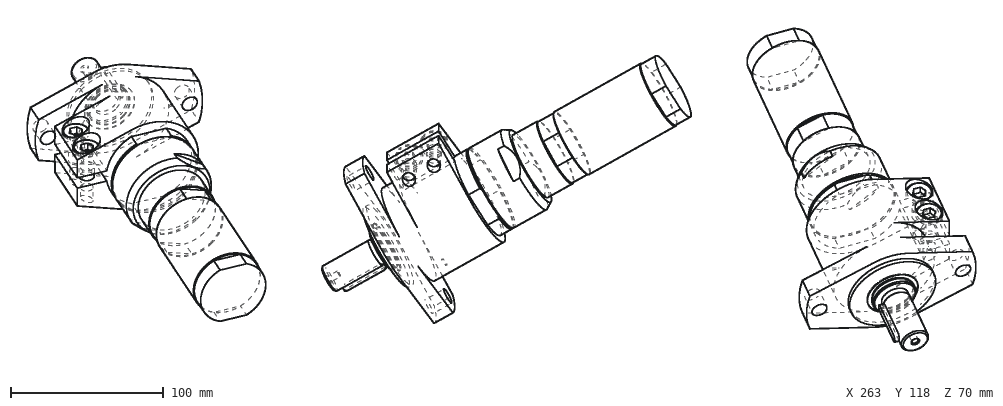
import cadquery as cq
import math


shaft_step_x = 36.0
seal_x = 39.7
pilot_x = 44.0
flange_x = 46.8
flange_back_x = 61.3
clamp_x = 74.7
clamp_back_x = 114.1
neck_end_x = 122.8
drum_x = 124.5
drum_flat_x = 144.6
drum_back_x = 154.0
groove_x = 173.3
groove_back_x = 185.2
tail_x = 252.0
overall_length = 263.0

shaft_dia = 19.0
shaft_relief_dia = 18.7
seal_dia = 30.0
seal_recess_dia = 35.2
drum_dia = 60.0
body_dia = 70.0
tube_dia = 47.0
tube_waist_dia = 46.0

shaft_chamfer = 1.0
seal_chamfer = 0.8
seal_recess_depth = 0.8
notch_depth = 0.8
drum_taper_length = 4.7
drum_taper_depth = 3.0

center_hole_dia = 4.2
center_sink_dia = 5.8
center_sink_angle = 90.0
center_hole_depth = 8.0

key_x = 5.0
key_back_x = 36.8
key_width = 6.0
key_top = 12.4

flange_span = 118.0
flange_slope = 19.9
mount_hole_dia = 10.5
mount_hole_offset = 50.0

neck_flat_distance = 27.4
tail_flat_distance = 21.0
drum_flat_angle = 35.4
waist_flat_angle = 19.5

clamp_face_y = -50.5
clamp_gap = 8.5
screw_dia = 10.0
screw_head_dia = 18.0
screw_crown_dia = 16.0
screw_head_height = 10.0
screw_head_top = 19.5
socket_width = 8.0
socket_depth = 5.0
socket_cone_slope = 30.0
tapped_hole_dia = 8.5
tapped_hole_top = -13.2
screw_pitch = 19.0
screw_y = -40.0
screw_middle_x = 94.7

bleed_dia = 1.0
bleed_depth = 5.3
bleed_x = 69.7
bleed_angle = 16.0


def cylinder_x(x0, x1, diameter):
    """Cylinder on the X axis between two stations."""
    return cq.Workplane("YZ", origin=(x0, 0, 0)).circle(diameter / 2).extrude(x1 - x0)


def cylinder_z(x, y, z0, z1, diameter):
    """Vertical cylinder between two heights."""
    return cq.Workplane("XY", origin=(x, y, z0)).circle(diameter / 2).extrude(z1 - z0)


def block(x0, x1, y0, y1, z0, z1):
    """Axis-aligned box given by its limits."""
    return cq.Workplane("XY").box(x1 - x0, y1 - y0, z1 - z0, centered=False).translate((x0, y0, z0))


def flat_pair_cut(x0, x1, distance, angle=0.0):
    """Material to remove for two opposite flats, their normal tilted from Z by angle toward +Y."""
    upper = block(x0, x1, -body_dia, body_dia, distance, body_dia)
    lower = upper.mirror("XY")
    return upper.union(lower).rotate((0, 0, 0), (1, 0, 0), -angle)


def make_shaft():
    shaft = cylinder_x(0, shaft_step_x, shaft_dia).faces("<X").chamfer(shaft_chamfer)
    shaft = shaft.union(cylinder_x(shaft_step_x, pilot_x, shaft_relief_dia))
    shaft = (
        shaft.faces("<X")
        .workplane()
        .cskHole(center_hole_dia, center_sink_dia, center_sink_angle, center_hole_depth)
    )
    key_length = key_back_x - key_x
    key = (
        cq.Workplane("XZ", origin=((key_x + key_back_x) / 2, 0, 0))
        .slot2D(key_length, key_width)
        .extrude(-key_top)
    )
    outer_part = block(key_x, key_back_x, shaft_dia / 4, key_top, -key_width, key_width)
    return shaft.union(key.intersect(outer_part))


def make_pilot_and_seal():
    pilot = cylinder_x(pilot_x, flange_x, drum_dia)
    recess_floor_x = pilot_x + seal_recess_depth
    pilot = pilot.cut(cylinder_x(pilot_x, recess_floor_x, seal_recess_dia))
    seal = cylinder_x(seal_x, pilot_x, seal_dia).faces("<X or >X").chamfer(seal_chamfer)
    seal_foot = cylinder_x(pilot_x, flange_x, seal_dia - 2 * seal_chamfer)
    return pilot.union(seal).union(seal_foot)


def tangent_height(y):
    """Height at y of the sloped plane tangent to the body."""
    slope = math.radians(flange_slope)
    return (body_dia / 2 - abs(y) * math.sin(slope)) / math.cos(slope)


def make_flange():
    thickness = flange_back_x - flange_x
    tangent_y = body_dia / 2 * math.sin(math.radians(flange_slope))
    tangent_z = tangent_height(tangent_y)
    corner_y = flange_span / 2
    corner_z = tangent_height(corner_y)
    flange = (
        cq.Workplane("YZ", origin=(flange_x, 0, 0))
        .moveTo(-tangent_y, tangent_z)
        .threePointArc((0, body_dia / 2), (tangent_y, tangent_z))
        .lineTo(corner_y, corner_z)
        .lineTo(corner_y, -corner_z)
        .lineTo(tangent_y, -tangent_z)
        .threePointArc((0, -body_dia / 2), (-tangent_y, -tangent_z))
        .lineTo(-corner_y, -corner_z)
        .lineTo(-corner_y, corner_z)
        .close()
        .extrude(thickness)
    )
    flange = flange.intersect(cylinder_x(flange_x, flange_back_x, flange_span))
    for side in (-1, 1):
        hole = cylinder_x(flange_x, flange_back_x, mount_hole_dia)
        flange = flange.cut(hole.translate((0, side * mount_hole_offset, 0)))
    return flange


def make_clamp_body():
    """Round body with two clamp jaws parted by a gap that reaches in to the inner cylinder."""
    body = cylinder_x(flange_back_x, clamp_back_x, body_dia)
    tangent_y = -body_dia / 2 * math.sin(math.radians(flange_slope))
    tangent_z = tangent_height(tangent_y)
    face_z = tangent_height(clamp_face_y)
    jaws = (
        cq.Workplane("YZ", origin=(clamp_x, 0, 0))
        .polyline([
            (tangent_y, tangent_z),
            (clamp_face_y, face_z),
            (clamp_face_y, -face_z),
            (tangent_y, -tangent_z),
        ])
        .close()
        .extrude(clamp_back_x - clamp_x)
    )
    gap = block(clamp_x, clamp_back_x, clamp_face_y, 0, -clamp_gap / 2, clamp_gap / 2)
    gap = gap.cut(cylinder_x(clamp_x, clamp_back_x, drum_dia))
    return body.union(jaws).cut(gap)


def make_socket(x):
    """Hexagonal screw socket with a conical bottom."""
    corner_radius = socket_width / math.sqrt(3)
    cone_depth = corner_radius * math.tan(math.radians(socket_cone_slope))
    total_depth = socket_depth + cone_depth
    corner_turn = 30
    hexagon = (
        cq.Workplane("XY", origin=(x, screw_y, screw_head_top - total_depth))
        .transformed(rotate=(0, 0, corner_turn))
        .polygon(6, 2 * corner_radius)
        .extrude(total_depth)
    )
    pointed_bore = (
        cq.Workplane("XZ")
        .polyline([
            (0, -total_depth),
            (corner_radius, -socket_depth),
            (corner_radius, 0),
            (0, 0),
        ])
        .close()
        .revolve(360, (0, 0, 0), (0, 1, 0))
        .translate((x, screw_y, screw_head_top))
    )
    return hexagon.intersect(pointed_bore)


def add_screw(body, x):
    """Socket-head screw filling a counterbore, with its tapped hole open at the bottom."""
    seat_z = screw_head_top - screw_head_height
    body = body.cut(cylinder_z(x, screw_y, seat_z, body_dia / 2, screw_head_dia))
    body = body.cut(cylinder_z(x, screw_y, -body_dia / 2, tapped_hole_top, tapped_hole_dia))
    head = cylinder_z(x, screw_y, seat_z, screw_head_top, screw_head_dia)
    head = head.faces(">Z").chamfer((screw_head_dia - screw_crown_dia) / 2)
    shank = cylinder_z(x, screw_y, -clamp_gap, seat_z, screw_dia)
    return body.union(head.cut(make_socket(x))).union(shank)


def make_bleed_hole():
    hole = cq.Workplane("XZ", origin=(bleed_x, body_dia / 2, 0)).circle(bleed_dia / 2).extrude(bleed_depth)
    return hole.rotate((0, 0, 0), (1, 0, 0), bleed_angle)


def make_drum():
    """Flatted neck, V notch and the drum, tapered at its back."""
    radius = drum_dia / 2
    notch_radius = radius - notch_depth
    notch_middle_x = (neck_end_x + drum_x) / 2
    drum = (
        cq.Workplane("XY")
        .polyline([
            (clamp_back_x, 0),
            (clamp_back_x, radius),
            (neck_end_x, radius),
            (notch_middle_x, notch_radius),
            (drum_x, radius),
            (drum_back_x - drum_taper_length, radius),
            (drum_back_x, radius - drum_taper_depth),
            (drum_back_x, 0),
        ])
        .close()
        .revolve(360, (0, 0, 0), (1, 0, 0))
    )
    drum = drum.cut(flat_pair_cut(clamp_back_x, notch_middle_x, neck_flat_distance))
    return drum.cut(flat_pair_cut(drum_flat_x, drum_back_x, neck_flat_distance, drum_flat_angle))


def make_tube():
    """Rear tube with a flatted waist and a flatted tail."""
    edge = (tube_dia - tube_waist_dia) / 2
    front = cylinder_x(drum_back_x, groove_x, tube_dia).faces(">X").chamfer(edge)
    waist = cylinder_x(groove_x, groove_back_x, tube_waist_dia)
    waist = waist.cut(flat_pair_cut(groove_x, groove_back_x, tail_flat_distance, waist_flat_angle))
    middle = cylinder_x(groove_back_x, tail_x, tube_dia).faces("<X or >X").chamfer(edge)
    tail = cylinder_x(tail_x, overall_length, tube_waist_dia)
    tail = tail.cut(flat_pair_cut(tail_x, overall_length, tail_flat_distance))
    return front.union(waist).union(middle).union(tail)


clamp_body = make_clamp_body()
for side in (-1, 1):
    clamp_body = add_screw(clamp_body, screw_middle_x + side * screw_pitch / 2)
clamp_body = clamp_body.cut(make_bleed_hole())

result = make_shaft()
for section in (make_pilot_and_seal(), make_flange(), clamp_body, make_drum(), make_tube()):
    result = result.union(section)